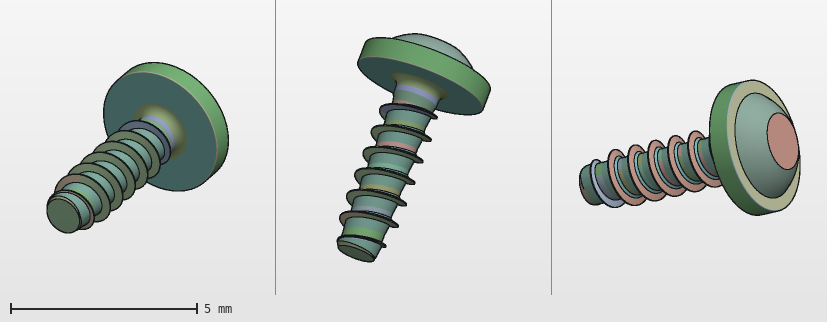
import cadquery as cq
import math

length = 6.2

flange_radius = 3.6 / 2
flange_thickness = 0.595
flange_edge_radius = 0.025
dome_height = 0.6
dome_flat_radius = 0.775
dome_base_radius = 1.44
bearing_z = dome_height + flange_thickness

neck_radius = 0.61
neck_fillet = 0.25
neck_end_z = 1.6
core_radius = 0.54
core_start_z = neck_end_z + 0.265
tip_radius = 0.515
point_height = 0.01
tip_z = length - point_height
tip_taper_length = 0.15
tip_taper_radius = 0.595

six_turn_advance = 3.845
pitch = six_turn_advance / 6
thread_start_z = 1.23
lead_in_turns = 1.5
full_turns = 4.75
run_out_turns = 1.75
lead_in_drop = 0.2
run_out_drop = 0.28
crest_radius = 0.8
crest_width = 0.03
envelope_margin = 0.06
buried_radius = 0.465
root_width = 0.415
root_overlap = 0.005

ridge_section = [
    (buried_radius, -0.155),
    (core_radius, -0.135),
    (0.61, -0.075),
    (crest_radius, -crest_width / 2),
    (crest_radius, crest_width / 2),
    (0.58, 0.07),
    (buried_radius, 0.09),
]

root_section = [
    (buried_radius, 0.0),
    (0.59, 0.0),
    (0.575, 0.07),
    (core_radius - root_overlap, root_width),
    (buried_radius, root_width),
]


def dome_arc_midpoint():
    """Point halfway down a spherical dome whose centre lies on the screw axis."""
    centre_z = (dome_base_radius**2 + dome_height**2 - dome_flat_radius**2) / (2 * dome_height)
    sphere_radius = math.hypot(dome_flat_radius, centre_z)
    middle_z = dome_height / 2
    return math.sqrt(sphere_radius**2 - (centre_z - middle_z) ** 2), middle_z


def make_blank():
    """Head, neck and plain core as one revolved outline of (radius, z)."""
    edge = flange_edge_radius
    bevel = edge * math.sqrt(0.5)
    fillet_reach = neck_fillet * (1 - math.sqrt(0.5))
    outline = (
        cq.Workplane("XZ")
        .lineTo(dome_flat_radius, 0)
        .threePointArc(dome_arc_midpoint(), (dome_base_radius, dome_height))
        .lineTo(flange_radius - edge, dome_height)
        .threePointArc(
            (flange_radius - edge + bevel, dome_height + edge - bevel),
            (flange_radius, dome_height + edge),
        )
        .lineTo(flange_radius, bearing_z - edge)
        .threePointArc(
            (flange_radius - edge + bevel, bearing_z - edge + bevel),
            (flange_radius - edge, bearing_z),
        )
        .lineTo(neck_radius + neck_fillet, bearing_z)
        .threePointArc(
            (neck_radius + fillet_reach, bearing_z + fillet_reach),
            (neck_radius, bearing_z + neck_fillet),
        )
        .lineTo(neck_radius, neck_end_z)
        .lineTo(core_radius, core_start_z)
        .lineTo(core_radius, tip_z - tip_taper_length)
        .lineTo(tip_radius, tip_z)
        .lineTo(0, length)
        .close()
    )
    return outline.revolve(360, (0, 0, 0), (0, 1, 0))


def helical_band(section, first_turn, turns, start_drop=0.0, end_drop=0.0):
    """Solid swept along the helix; its section sinks toward the axis by the given drops."""
    height = turns * pitch
    taper = math.atan2(start_drop - end_drop, height)
    helices = []
    for radius, offset in section:
        if taper:
            slant = 1 / math.cos(taper)
            helix = cq.Wire.makeHelix(
                pitch * slant, height * slant, radius - start_drop, angle=math.degrees(taper)
            )
        else:
            helix = cq.Wire.makeHelix(pitch, height, radius)
        helices.append(helix.translate(cq.Vector(0, 0, offset)))
    faces = []
    for index, helix in enumerate(helices):
        faces.append(cq.Face.makeRuledSurface(helices[index - 1], helix))
    for end in (0, 1):
        corners = [helix.positionAt(end) for helix in helices]
        faces.append(cq.Face.makeFromWires(cq.Wire.makePolygon(corners, close=True)))
    shell = cq.Shell.makeShell(faces)
    band = cq.Solid.makeSolid(shell).fix()
    band = band.rotate(cq.Vector(0, 0, 0), cq.Vector(0, 0, 1), 360 * first_turn)
    return cq.Workplane(band.translate(cq.Vector(0, 0, thread_start_z + first_turn * pitch)))


def make_thread():
    """Ridge growing from the neck and fading at the tip, with its tapered root alongside."""
    run_out_start = lead_in_turns + full_turns
    all_turns = run_out_start + run_out_turns
    lead_in = helical_band(ridge_section, 0, lead_in_turns, start_drop=lead_in_drop)
    full = helical_band(ridge_section, lead_in_turns, full_turns)
    run_out = helical_band(ridge_section, run_out_start, run_out_turns, end_drop=run_out_drop)
    root = helical_band(root_section, 0, all_turns)

    envelope_radius = crest_radius + envelope_margin
    tip_taper_z = tip_z - tip_taper_length
    envelope = (
        cq.Workplane("XZ")
        .moveTo(0, neck_end_z)
        .lineTo(envelope_radius, neck_end_z)
        .lineTo(envelope_radius, tip_taper_z)
        .lineTo(tip_taper_radius, tip_taper_z)
        .lineTo(tip_radius, tip_z)
        .lineTo(0, tip_z)
        .close()
        .revolve(360, (0, 0, 0), (0, 1, 0))
    )
    clipped = [band.intersect(envelope) for band in (lead_in, run_out, root)]
    return [full] + clipped


screw = make_blank()
for thread_band in make_thread():
    screw = screw.union(thread_band)

result = screw.solids().rotate((0, 0, 0), (1, 0, 0), 90)